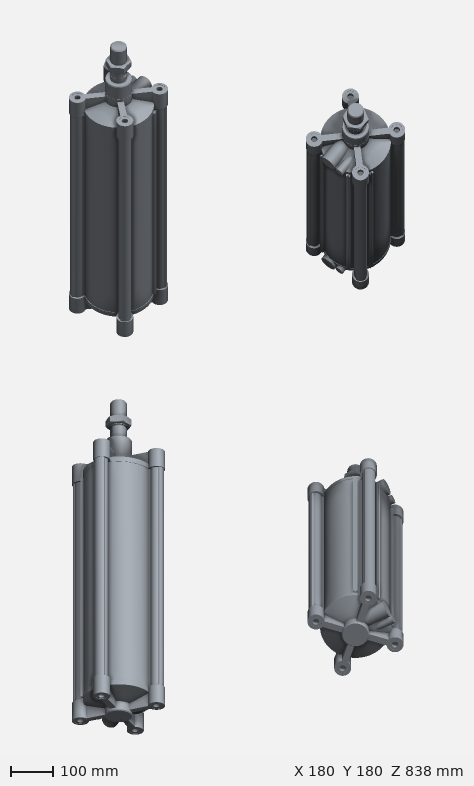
import cadquery as cq
import math

TOTAL_LENGTH = 838.0
REAR_COLLAR_HEIGHT = 7.5
CAP_HEIGHT = 48.0
CAP_RIM_HEIGHT = 12.5
CAP_CONE_TOP = 31.0
FRONT_CAP_TOP = 686.0
REAR_BARREL_END = REAR_COLLAR_HEIGHT + CAP_HEIGHT
FRONT_BARREL_END = FRONT_CAP_TOP - CAP_HEIGHT

OUTER_WIDTH = 180.0
BOSS_DIAMETER = 40.0
BOSS_OFFSET = (OUTER_WIDTH - BOSS_DIAMETER) / 2
BOSS_RADIAL_DISTANCE = BOSS_OFFSET * math.sqrt(2)
BOSS_RECESS_DIAMETER = 28.5
BOSS_RECESS_DEPTH = 1.0
BOSS_HOLE_DIAMETER = 15.0
BOSS_HOLE_DEPTH = 12.5
CAP_DIAMETER = 169.0
RIB_WIDTH = 16.0
COLLAR_DIAMETER = 65.0
COLLAR_EDGE_DIAMETER = 61.0
COLLAR_CHAMFER_HEIGHT = 2.5
NOSE_DIAMETER = 64.5
NOSE_BOTTOM = 694.0
NOSE_TOP = 735.0

PORT_DIAMETER = 40.0
PORT_X = 12.5
PORT_HEIGHT = PORT_DIAMETER / 2
SIDE_PORT_DIAMETER = 22.0
SIDE_PORT_X = -21.0
SIDE_PORT_HEIGHT = 14.0

BARREL_DIAMETER = 167.0
BARREL_BORE = 160.0
WEB_WIDTH = 21.0
COLUMN_DIAMETER = 30.0
TIE_RIDGE_DIAMETER = 36.0
TIE_RIDGE_WIDTH = 24.0
RAIL_ANGLE_FROM_DIAGONAL = 18.5
RAIL_WIDTH = 10.0
RAIL_RADIUS = 90.5
RAIL_SLOT_WIDTH = 3.0
RAIL_SLOT_DEPTH = 3.0

ROD_DIAMETER = 40.0
ROD_END_DIAMETER = 39.0
ROD_END_BOTTOM = 749.0
FLATS_BOTTOM = 752.0
FLATS_TOP = 767.0
FLATS_WIDTH = 36.0
NECK_DIAMETER = 33.0
THREAD_BOTTOM = 772.0
TIP_CHAMFER = 2.5

NUT_ACROSS_FLATS = 54.5
NUT_BOTTOM = 773.5
NUT_HEIGHT = 18.5
NUT_CHAMFER_ANGLE = 30.0
NUT_TURN = 30.0

DIAGONAL_ANGLES = (45, 135, 225, 315)
SENSOR_CORNER_ANGLES = (45, 135)


def cylinder(diameter, bottom, top):
    return cq.Workplane("XY").workplane(offset=bottom).circle(diameter / 2).extrude(top - bottom)


def bar(inner, outer, width, bottom, top, angle):
    """Box along a radius, from the inner to the outer radius, turned about Z."""
    length = outer - inner
    box = cq.Workplane("XY").box(length, width, top - bottom, centered=(False, True, False))
    return box.translate((inner, 0, bottom)).rotate((0, 0, 0), (0, 0, 1), angle)


def corner_points(workplane):
    """Axes of the four corner bosses."""
    return workplane.rect(2 * BOSS_OFFSET, 2 * BOSS_OFFSET, forConstruction=True).vertices()


def port_boss(diameter, x, z):
    """Round boss along Y that ends level with the outer face of the corner bosses."""
    start = cq.Workplane("XZ", origin=(x, 0, z))
    return start.circle(diameter / 2).extrude(-OUTER_WIDTH / 2)


def cap_core(collar_height):
    """Rim disc, cone and collar as one turned shape."""
    collar_radius = COLLAR_DIAMETER / 2
    return (
        cq.Workplane("XZ")
        .moveTo(0, 0)
        .lineTo(CAP_DIAMETER / 2, 0)
        .lineTo(CAP_DIAMETER / 2, CAP_RIM_HEIGHT)
        .lineTo(collar_radius, CAP_CONE_TOP)
        .lineTo(collar_radius, collar_height)
        .lineTo(0, collar_height)
        .close()
        .revolve(360, (0, 0), (0, 1))
    )


def cap_body(collar_height):
    """Cap with its inner face on Z = 0 and its ribs and bosses pointing up."""
    body = cap_core(collar_height)
    body = body.union(port_boss(PORT_DIAMETER, PORT_X, PORT_HEIGHT))
    body = body.union(port_boss(SIDE_PORT_DIAMETER, SIDE_PORT_X, SIDE_PORT_HEIGHT))
    for angle in DIAGONAL_ANGLES:
        body = body.union(bar(0, BOSS_RADIAL_DISTANCE, RIB_WIDTH, 0, CAP_HEIGHT, angle))
    bosses = corner_points(cq.Workplane("XY")).circle(BOSS_DIAMETER / 2).extrude(CAP_HEIGHT)
    body = body.union(bosses)
    outer_face = corner_points(cq.Workplane("XY").workplane(offset=CAP_HEIGHT))
    body = body.cut(outer_face.circle(BOSS_RECESS_DIAMETER / 2).extrude(-BOSS_RECESS_DEPTH))
    return body.cut(outer_face.circle(BOSS_HOLE_DIAMETER / 2).extrude(-BOSS_HOLE_DEPTH))


def chamfered_disc(diameter, bottom, top):
    """Round collar end with a steep chamfer around its top edge."""
    disc = cylinder(diameter, bottom, top)
    return disc.faces(">Z").chamfer(COLLAR_CHAMFER_HEIGHT, (diameter - COLLAR_EDGE_DIAMETER) / 2)


def front_cap():
    """Cap at the rod end, with a turned nose and a through bore for the rod."""
    cap = cap_body(NOSE_BOTTOM - FRONT_BARREL_END).translate((0, 0, FRONT_BARREL_END))
    cap = cap.union(chamfered_disc(NOSE_DIAMETER, NOSE_BOTTOM, NOSE_TOP))
    return cap.cut(cylinder(ROD_DIAMETER, FRONT_BARREL_END, NOSE_TOP))


def rear_cap():
    """Mirrored cap with a closed collar standing just proud of its bosses."""
    cap = cap_body(CAP_HEIGHT).union(chamfered_disc(COLLAR_DIAMETER, CAP_HEIGHT, REAR_BARREL_END))
    return cap.mirror("XY").translate((0, 0, REAR_BARREL_END))


def tie_ridge(angle, bottom, top):
    """Flat-sided ridge with a round outer face, on the outward side of a corner column."""
    outer_radius = BOSS_RADIAL_DISTANCE + TIE_RIDGE_DIAMETER / 2
    ridge = bar(BOSS_RADIAL_DISTANCE, outer_radius, TIE_RIDGE_WIDTH, bottom, top, 0)
    round_face = cylinder(TIE_RIDGE_DIAMETER, bottom, top).translate((BOSS_RADIAL_DISTANCE, 0, 0))
    return ridge.intersect(round_face).rotate((0, 0, 0), (0, 0, 1), angle)


def barrel():
    """Tube with a webbed column at each corner and slotted sensor rails beside the +Y columns."""
    ends = (REAR_BARREL_END, FRONT_BARREL_END)
    rail_slot_floor = RAIL_RADIUS - RAIL_SLOT_DEPTH
    body = cylinder(BARREL_DIAMETER, *ends)
    for angle in DIAGONAL_ANGLES:
        body = body.union(bar(0, BOSS_RADIAL_DISTANCE, WEB_WIDTH, *ends, angle))
        body = body.union(tie_ridge(angle, *ends))
    columns = corner_points(cq.Workplane("XY").workplane(offset=REAR_BARREL_END))
    body = body.union(columns.circle(COLUMN_DIAMETER / 2).extrude(ends[1] - ends[0]))
    for corner in SENSOR_CORNER_ANGLES:
        for turn in (-RAIL_ANGLE_FROM_DIAGONAL, RAIL_ANGLE_FROM_DIAGONAL):
            angle = corner + turn
            body = body.union(bar(0, RAIL_RADIUS, RAIL_WIDTH, *ends, angle))
            body = body.cut(bar(rail_slot_floor, RAIL_RADIUS, RAIL_SLOT_WIDTH, *ends, angle))
    return body.cut(cylinder(BARREL_BORE, *ends))


def piston_rod():
    """Stepped rod with wrench flats facing +X and -X, a neck and a threaded end."""
    rod = cylinder(ROD_DIAMETER, FRONT_BARREL_END, ROD_END_BOTTOM)
    rod = rod.union(cylinder(ROD_END_DIAMETER, ROD_END_BOTTOM, FLATS_BOTTOM))
    flats_height = FLATS_TOP - FLATS_BOTTOM
    flats = cq.Workplane("XY").box(FLATS_WIDTH, ROD_END_DIAMETER, flats_height, centered=(True, True, False))
    flats = flats.translate((0, 0, FLATS_BOTTOM))
    rod = rod.union(flats.intersect(cylinder(ROD_END_DIAMETER, FLATS_BOTTOM, FLATS_TOP)))
    rod = rod.union(cylinder(NECK_DIAMETER, FLATS_TOP, THREAD_BOTTOM))
    thread = cylinder(ROD_END_DIAMETER, THREAD_BOTTOM, TOTAL_LENGTH)
    return rod.union(thread.faces(">Z").chamfer(TIP_CHAMFER))


def lock_nut():
    """Hexagon nut with flats facing +X and -X and corners chamfered at both ends."""
    corner_radius = NUT_ACROSS_FLATS / math.sqrt(3)
    nut = cq.Workplane("XY").polygon(6, 2 * corner_radius).extrude(NUT_HEIGHT)
    nut = nut.rotate((0, 0, 0), (0, 0, 1), NUT_TURN)
    face_radius = NUT_ACROSS_FLATS / 2
    drop = (corner_radius - face_radius) * math.tan(math.radians(NUT_CHAMFER_ANGLE))
    envelope = (
        cq.Workplane("XZ")
        .moveTo(0, 0)
        .lineTo(face_radius, 0)
        .lineTo(corner_radius, drop)
        .lineTo(corner_radius, NUT_HEIGHT - drop)
        .lineTo(face_radius, NUT_HEIGHT)
        .lineTo(0, NUT_HEIGHT)
        .close()
        .revolve(360, (0, 0), (0, 1))
    )
    nut = nut.intersect(envelope).translate((0, 0, NUT_BOTTOM))
    return nut.cut(cylinder(ROD_END_DIAMETER, NUT_BOTTOM, NUT_BOTTOM + NUT_HEIGHT))


result = cq.Compound.makeCompound(
    [front_cap().val(), rear_cap().val(), barrel().val(), piston_rod().val(), lock_nut().val()]
)